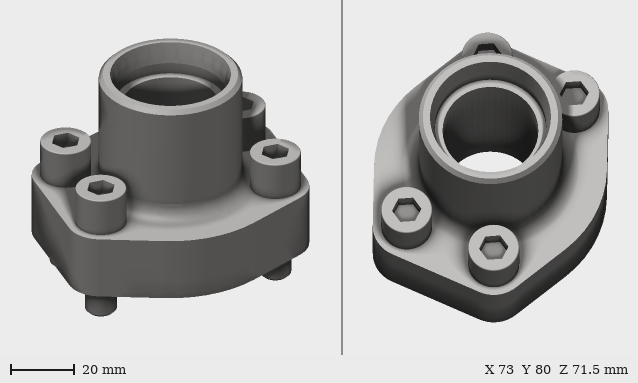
import cadquery as cq
import math

FLANGE_THICKNESS = 21.0
FLANGE_HALF_LENGTH = 40.0
FLANGE_SIDE_RADIUS = 36.5
BOLT_X = 15.1
BOLT_Y = 29.35
CORNER_RADIUS = FLANGE_HALF_LENGTH - BOLT_Y

NECK_TOP = 60.0
NECK_RADIUS = 45.0 / 2
NECK_CHAMFER = 1.3
NECK_ROOT_FILLET = 5.0

BORE_RADIUS = 30.0 / 2
SEAT_RADIUS = 35.0 / 2
SEAT_DEPTH = 10.5
CONE_MOUTH_RADIUS = 37.89 / 2
CONE_HALF_ANGLE = math.radians(12.0)
CONE_DEPTH = (CONE_MOUTH_RADIUS - SEAT_RADIUS) / math.tan(CONE_HALF_ANGLE)

HEAD_RADIUS = 16.0 / 2
HEAD_HEIGHT = 12.5
HEAD_FILLET = 0.4
SHANK_RADIUS = 10.0 / 2
SHANK_PROJECTION = 11.5
SHANK_CHAMFER = 1.0
SOCKET_ACROSS_FLATS = 8.0
SOCKET_DEPTH = 5.0


def polar(center_x, center_y, radius, angle):
    return (center_x + radius * math.cos(angle), center_y + radius * math.sin(angle))


def make_flange():
    """Plate with round sides and corners joined by common tangent lines."""
    bolt_distance = math.hypot(BOLT_X, BOLT_Y)
    bolt_angle = math.atan2(BOLT_Y, BOLT_X)
    tangent_angle = bolt_angle - math.acos((FLANGE_SIDE_RADIUS - CORNER_RADIUS) / bolt_distance)
    corner_mid_angle = (tangent_angle + math.pi / 2) / 2

    side_x, side_y = polar(0, 0, FLANGE_SIDE_RADIUS, tangent_angle)
    corner_x, corner_y = polar(BOLT_X, BOLT_Y, CORNER_RADIUS, tangent_angle)
    mid_x, mid_y = polar(BOLT_X, BOLT_Y, CORNER_RADIUS, corner_mid_angle)

    outline = (
        cq.Workplane("XY")
        .moveTo(side_x, -side_y)
        .threePointArc((FLANGE_SIDE_RADIUS, 0), (side_x, side_y))
        .lineTo(corner_x, corner_y)
        .threePointArc((mid_x, mid_y), (BOLT_X, FLANGE_HALF_LENGTH))
        .lineTo(-BOLT_X, FLANGE_HALF_LENGTH)
        .threePointArc((-mid_x, mid_y), (-corner_x, corner_y))
        .lineTo(-side_x, side_y)
        .threePointArc((-FLANGE_SIDE_RADIUS, 0), (-side_x, -side_y))
        .lineTo(-corner_x, -corner_y)
        .threePointArc((-mid_x, -mid_y), (-BOLT_X, -FLANGE_HALF_LENGTH))
        .lineTo(BOLT_X, -FLANGE_HALF_LENGTH)
        .threePointArc((mid_x, -mid_y), (corner_x, -corner_y))
        .close()
    )
    return outline.extrude(FLANGE_THICKNESS)


def make_neck():
    """Revolved neck with a chamfered rim and a concave fillet onto the flange."""
    fillet_outer_radius = NECK_RADIUS + NECK_ROOT_FILLET
    fillet_top = FLANGE_THICKNESS + NECK_ROOT_FILLET
    fillet_mid = polar(fillet_outer_radius, fillet_top, NECK_ROOT_FILLET, math.radians(225))
    return (
        cq.Workplane("XZ")
        .lineTo(fillet_outer_radius, 0)
        .lineTo(fillet_outer_radius, FLANGE_THICKNESS)
        .threePointArc(fillet_mid, (NECK_RADIUS, fillet_top))
        .lineTo(NECK_RADIUS, NECK_TOP - NECK_CHAMFER)
        .lineTo(NECK_RADIUS - NECK_CHAMFER, NECK_TOP)
        .lineTo(0, NECK_TOP)
        .close()
        .revolve(360, (0, 0, 0), (0, 1, 0))
    )


def make_bore():
    """Through bore, cylindrical seat and sealing cone as one revolved cutter."""
    seat_floor = NECK_TOP - SEAT_DEPTH
    return (
        cq.Workplane("XZ")
        .lineTo(BORE_RADIUS, 0)
        .lineTo(BORE_RADIUS, seat_floor)
        .lineTo(SEAT_RADIUS, seat_floor)
        .lineTo(SEAT_RADIUS, NECK_TOP - CONE_DEPTH)
        .lineTo(CONE_MOUTH_RADIUS, NECK_TOP)
        .lineTo(0, NECK_TOP)
        .close()
        .revolve(360, (0, 0, 0), (0, 1, 0))
    )


def make_bolt():
    """Bolt on the Z axis, with its head resting on the flange."""
    head_top = FLANGE_THICKNESS + HEAD_HEIGHT
    head = (
        cq.Workplane("XY")
        .workplane(offset=FLANGE_THICKNESS)
        .circle(HEAD_RADIUS)
        .extrude(HEAD_HEIGHT)
        .faces(">Z")
        .edges()
        .fillet(HEAD_FILLET)
    )
    shank = (
        cq.Workplane("XY")
        .workplane(offset=-SHANK_PROJECTION)
        .circle(SHANK_RADIUS)
        .extrude(SHANK_PROJECTION + FLANGE_THICKNESS)
        .faces("<Z")
        .chamfer(SHANK_CHAMFER)
    )
    socket = (
        cq.Workplane("XY")
        .workplane(offset=head_top - SOCKET_DEPTH)
        .polygon(6, SOCKET_ACROSS_FLATS, circumscribed=True)
        .extrude(SOCKET_DEPTH)
    )
    return head.union(shank).cut(socket)


def make_part():
    body = make_flange().union(make_neck()).cut(make_bore())
    bolt = make_bolt()
    for x in (-BOLT_X, BOLT_X):
        for y in (-BOLT_Y, BOLT_Y):
            body = body.union(bolt.translate((x, y, 0)))
    return body


result = make_part()